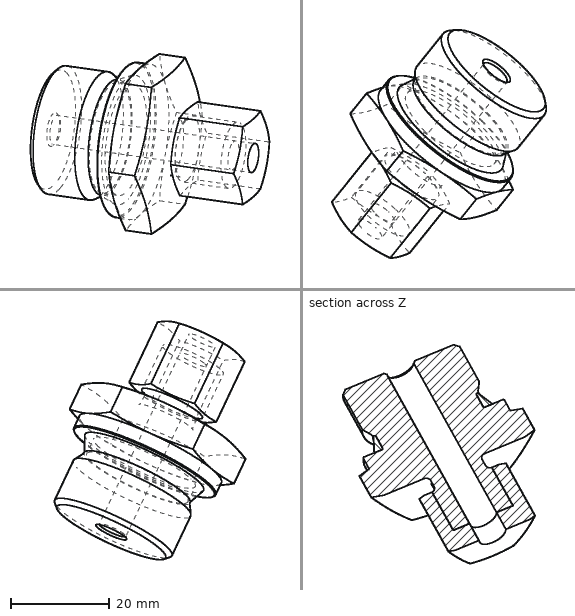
import cadquery as cq
import math


thread_end = 10.1
groove_bottom = 12.55
collar_face = 16.0
hex_start = 19.0
hex_end = 26.0
nut_start = 29.5
nut_end = 44.0

thread_radius = 13.25
lead_chamfer = 0.95
groove_radius = 11.95
groove_fillet = 1.2
thread_side_angle = 32.0
collar_chamfer = 0.2

body_hex_flats = 32.0
nut_hex_flats = 17.0
hex_chamfer_angle = 15.0
collar_radius = body_hex_flats / 2

ring_outer_radius = 13.38
ring_inner_radius = 11.45
ring_angle = 24.0

neck_radius = 5.85
neck_fillet = 0.95
spigot_radius = neck_radius + neck_fillet
spigot_end = 39.6

bore_radius = 3.0
mouth_chamfer = 0.5


def fillet_point(angle, side):
    """Point on the undercut fillet where its slope equals the angle; side is -1 or +1 along X."""
    turn = math.radians(angle)
    x = groove_bottom + side * groove_fillet * math.sin(turn)
    r = groove_radius + groove_fillet * (1 - math.cos(turn))
    return (x, r)


def revolve_about_x(profile):
    return profile.close().revolve(360, (0, 0, 0), (1, 0, 0))


def cylinder_x(radius, start, end):
    return cq.Workplane("YZ").workplane(offset=start).circle(radius).extrude(end - start)


def chamfered_hex(flats, start, end):
    """Hexagonal prism with flats facing +Z and -Z and turned corner chamfers on both ends."""
    corner_radius = flats / math.sqrt(3)
    flat_radius = flats / 2
    depth = (corner_radius - flat_radius) * math.tan(math.radians(hex_chamfer_angle))
    prism = (
        cq.Workplane("YZ")
        .workplane(offset=start)
        .polygon(6, 2 * corner_radius)
        .extrude(end - start)
    )
    turned_envelope = revolve_about_x(
        cq.Workplane("XY")
        .moveTo(start, 0)
        .lineTo(start, flat_radius)
        .lineTo(start + depth, corner_radius)
        .lineTo(end - depth, corner_radius)
        .lineTo(end, flat_radius)
        .lineTo(end, 0)
    )
    return prism.intersect(turned_envelope)


def make_stud():
    """Thread cylinder, undercut, ring seat and collar, up to the hexagon."""
    profile = (
        cq.Workplane("XY")
        .moveTo(0, 0)
        .lineTo(0, thread_radius - lead_chamfer)
        .lineTo(lead_chamfer, thread_radius)
        .lineTo(thread_end, thread_radius)
        .lineTo(*fillet_point(thread_side_angle, -1))
        .threePointArc(fillet_point(thread_side_angle / 2, -1), (groove_bottom, groove_radius))
        .lineTo(groove_bottom, ring_inner_radius)
        .lineTo(collar_face, ring_inner_radius)
        .lineTo(collar_face, collar_radius - collar_chamfer)
        .lineTo(collar_face + collar_chamfer, collar_radius)
        .lineTo(hex_start, collar_radius)
        .lineTo(hex_start, 0)
    )
    return revolve_about_x(profile)


def make_spigot():
    """Neck with a round fillet at each end, then the cylinder that fills the nut's recess."""
    arc_inset = neck_fillet * (1 - math.sqrt(0.5))
    profile = (
        cq.Workplane("XY")
        .moveTo(hex_end, 0)
        .lineTo(hex_end, spigot_radius)
        .threePointArc(
            (hex_end + arc_inset, neck_radius + arc_inset),
            (hex_end + neck_fillet, neck_radius),
        )
        .lineTo(nut_start - neck_fillet, neck_radius)
        .threePointArc(
            (nut_start - arc_inset, neck_radius + arc_inset),
            (nut_start, spigot_radius),
        )
        .lineTo(spigot_end, spigot_radius)
        .lineTo(spigot_end, 0)
    )
    return revolve_about_x(profile)


def make_bore():
    """Straight bore with a chamfered mouth at the thread end."""
    profile = (
        cq.Workplane("XY")
        .moveTo(0, 0)
        .lineTo(0, bore_radius + mouth_chamfer)
        .lineTo(mouth_chamfer, bore_radius)
        .lineTo(nut_end, bore_radius)
        .lineTo(nut_end, 0)
    )
    return revolve_about_x(profile)


def make_body():
    hexagon = chamfered_hex(body_hex_flats, hex_start, hex_end)
    return make_stud().union(hexagon).union(make_spigot()).cut(make_bore()).solids()


def make_sealing_ring():
    """Tapered ring seated behind the undercut and against the collar."""
    profile = (
        cq.Workplane("XY")
        .moveTo(groove_bottom, ring_inner_radius)
        .lineTo(groove_bottom, groove_radius)
        .threePointArc(fillet_point(ring_angle / 2, 1), fillet_point(ring_angle, 1))
        .lineTo(collar_face, ring_outer_radius)
        .lineTo(collar_face, ring_inner_radius)
    )
    return revolve_about_x(profile)


def make_nut():
    """Union nut with a recess for the spigot and the bore carried through."""
    recess = cylinder_x(spigot_radius, nut_start, spigot_end)
    return chamfered_hex(nut_hex_flats, nut_start, nut_end).cut(recess).cut(make_bore()).solids()


body = make_body()
sealing_ring = make_sealing_ring()
nut = make_nut()

result = cq.Compound.makeCompound([body.val(), sealing_ring.val(), nut.val()])